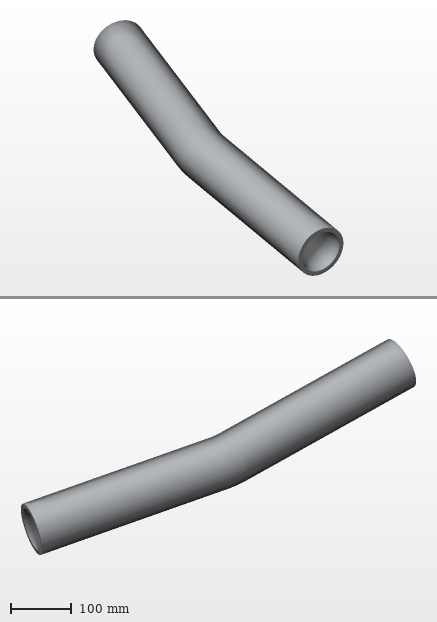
import cadquery as cq
import math

outer_diameter = 90.0
bore_diameter = 74.0
leg_length = 337.0
bend_angle = 11.0
bend_radius = 1.5 * outer_diameter

angle = math.radians(bend_angle)


def arc_point(turn):
    """Point on the centreline arc after turning by the given angle in radians."""
    x = leg_length + bend_radius * math.sin(turn)
    y = bend_radius * (1 - math.cos(turn))
    return (x, y)


bend_start = arc_point(0)
bend_middle = arc_point(angle / 2)
bend_end = arc_point(angle)
pipe_end = (
    bend_end[0] + leg_length * math.cos(angle),
    bend_end[1] + leg_length * math.sin(angle),
)

centreline = (
    cq.Workplane("XY")
    .lineTo(*bend_start)
    .threePointArc(bend_middle, bend_end)
    .lineTo(*pipe_end)
)

wall_section = cq.Workplane("YZ").circle(outer_diameter / 2).circle(bore_diameter / 2)
result = wall_section.sweep(centreline)